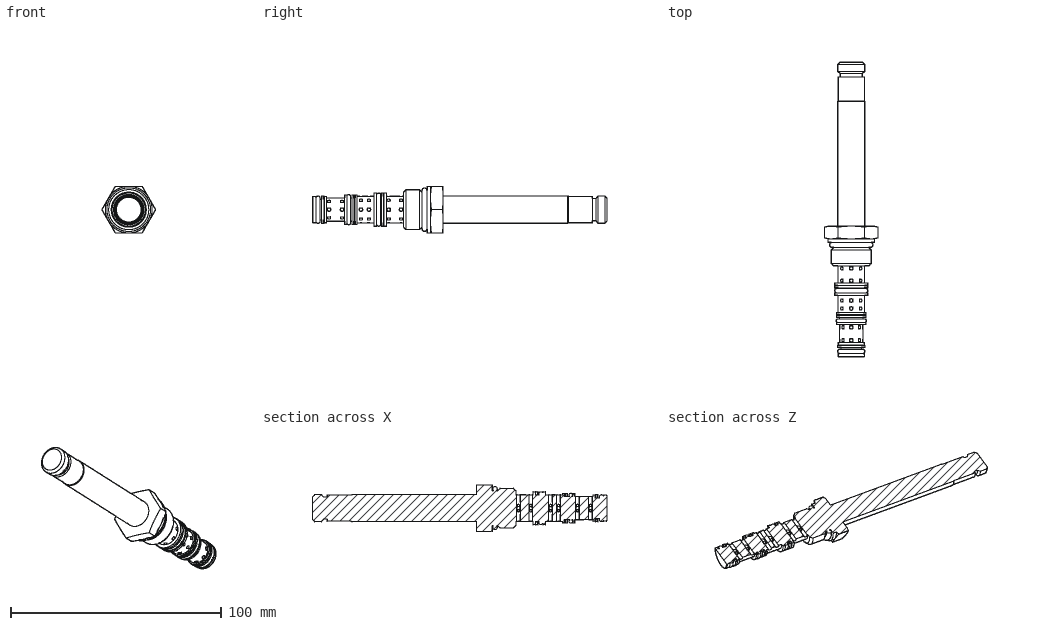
import cadquery as cq
import math

overall_length = 140.3

nose_land_diameter = 12.6
nose_chamfer_depth = 0.4
nose_chamfer_length = 0.3
nose_land_end = 6.9
middle_land_diameter = 14.2
middle_land_start = 15.4
middle_land_end = 21.3
large_land_diameter = 15.8
large_land_start = 29.3
large_land_end = 35.3
waist_diameter = 11.2
cage_diameter = 12.8

nose_groove_diameter = 10.0
nose_groove_start = 1.7
nose_groove_end = 5.8
middle_groove_diameter = 11.2
middle_groove_start = 16.4
middle_groove_end = 20.3
large_groove_diameter = 12.8
large_groove_start = 30.6
large_groove_end = 34.1

nose_bead_section = 2.1
middle_bead_section = 1.8
large_bead_section = 2.1
nose_bead_diameter = 13.0
middle_bead_diameter = 14.5
large_bead_diameter = 15.8

backup_width = 1.0
nose_backup_diameter = 13.2
nose_backup_start = 4.5
middle_backup_start = 18.8
large_backup_start = 33.0

hole_diameter = 1.5
holes_around = 8
hole_positions = [8.0, 14.2, 23.1, 27.0, 36.3, 42.2]

thread_diameter = 19.1
main_groove_diameter = 16.7
collar_start = 43.3
collar_end = 52.2

main_bead_section = 2.4
main_bead_diameter = 20.8

across_corners = 25.7
flange_start = 54.5
hex_start = 56.2
hex_end = 62.3
hex_chamfer_angle = 15

tube_diameter = 13.0
upper_tube_diameter = 12.6
tube_taper_start = 121.5
tube_taper_end = 121.9
neck_diameter = 10.7
neck_start = 133.2
neck_end = 135.0
cap_start = 135.8
cap_end = 139.1

across_flats = across_corners * math.cos(math.radians(30))


def revolve_profile(points):
    """Turn an outline of (radius, Y) points about the Y axis."""
    outline = cq.Workplane("XY").polyline(points).close()
    return outline.revolve(360, (0, 0, 0), (0, 1, 0))


def ring(inner_diameter, outer_diameter, start, end):
    inner = inner_diameter / 2
    outer = outer_diameter / 2
    return revolve_profile([(inner, start), (outer, start), (outer, end), (inner, end)])


def cylinder(diameter, start, end):
    return ring(0, diameter, start, end)


def bead(outer_diameter, section, start):
    """Round O-ring bead about the Y axis, beginning at Y = start."""
    center_radius = (outer_diameter - section) / 2
    section_plane = cq.Plane(
        origin=(center_radius, start + section / 2, 0),
        xDir=(-1, 0, 0),
        normal=(0, 0, 1),
    )
    section_circle = cq.Workplane(section_plane).circle(section / 2)
    return section_circle.revolve(360, (center_radius, 0, 0), (center_radius, 1, 0))


def cage():
    """Nose, waist and cage with the three lands, drilled across."""
    land_radius = nose_land_diameter / 2
    nose = revolve_profile([
        (0, 0),
        (land_radius - nose_chamfer_depth, 0),
        (land_radius, nose_chamfer_length),
        (land_radius, nose_land_end),
        (0, nose_land_end),
    ])
    body = (
        nose
        .union(cylinder(waist_diameter, nose_land_end, middle_land_start))
        .union(cylinder(middle_land_diameter, middle_land_start, middle_land_end))
        .union(cylinder(cage_diameter, middle_land_end, collar_start))
        .union(cylinder(large_land_diameter, large_land_start, large_land_end))
    )
    return cut_cross_holes(body)


def cut_cross_holes(body):
    """Drill straight through the axis, so each drilling opens on two opposite sides."""
    for position in hole_positions:
        for i in range(holes_around // 2):
            drill = (
                cq.Workplane("XY", origin=(0, position, 0))
                .circle(hole_diameter / 2)
                .extrude(cage_diameter, both=True)
                .rotate((0, 0, 0), (0, 1, 0), i * 360 / holes_around)
            )
            body = body.cut(drill)
    return body


def collar():
    """Threaded collar, 45 degree chamfers at both ends, and the main O-ring groove floor."""
    thread_radius = thread_diameter / 2
    groove_radius = main_groove_diameter / 2
    chamfer = thread_radius - groove_radius
    return revolve_profile([
        (0, collar_start),
        (groove_radius, collar_start),
        (thread_radius, collar_start + chamfer),
        (thread_radius, collar_end - chamfer),
        (groove_radius, collar_end),
        (groove_radius, flange_start),
        (0, flange_start),
    ])


def hexagon():
    """Hexagon with corners pointing along X, its corners turned off at both ends."""
    prism = (
        cq.Workplane("XZ", origin=(0, hex_start, 0))
        .polygon(6, across_corners)
        .extrude(hex_start - hex_end)
    )
    corner_radius = across_corners / 2
    flat_radius = across_flats / 2
    corner_drop = (corner_radius - flat_radius) * math.tan(math.radians(hex_chamfer_angle))
    envelope = revolve_profile([
        (0, hex_start),
        (flat_radius, hex_start),
        (corner_radius, hex_start + corner_drop),
        (corner_radius, hex_end - corner_drop),
        (flat_radius, hex_end),
        (0, hex_end),
    ])
    return prism.intersect(envelope)


def tube():
    """Long tube with a slimmer upper length, a neck and a chamfered cap."""
    tube_radius = tube_diameter / 2
    upper_radius = upper_tube_diameter / 2
    neck_radius = neck_diameter / 2
    return revolve_profile([
        (0, hex_end),
        (tube_radius, hex_end),
        (tube_radius, tube_taper_start),
        (upper_radius, tube_taper_end),
        (upper_radius, neck_start),
        (neck_radius, neck_start),
        (neck_radius, neck_end),
        (tube_radius, cap_start),
        (tube_radius, cap_end),
        (neck_radius, overall_length),
        (0, overall_length),
    ])


def cartridge():
    """The whole valve cartridge with its O-ring beads, as one solid."""
    body = (
        cage()
        .union(collar())
        .union(cylinder(across_flats, flange_start, hex_start))
        .union(hexagon())
        .union(tube())
    )
    grooves = [
        (nose_land_diameter, nose_groove_diameter, nose_groove_start, nose_groove_end),
        (middle_land_diameter, middle_groove_diameter, middle_groove_start, middle_groove_end),
        (large_land_diameter, large_groove_diameter, large_groove_start, large_groove_end),
    ]
    for land_diameter, floor_diameter, start, end in grooves:
        body = body.cut(ring(floor_diameter, land_diameter, start, end))
    beads = [
        (nose_bead_diameter, nose_bead_section, nose_groove_start),
        (middle_bead_diameter, middle_bead_section, middle_groove_start),
        (large_bead_diameter, large_bead_section, large_groove_start),
        (main_bead_diameter, main_bead_section, flange_start - main_bead_section),
    ]
    for outer_diameter, section, start in beads:
        body = body.union(bead(outer_diameter, section, start))
    return body


def backup_ring(floor_diameter, outer_diameter, start):
    """Flat ring that sits on a groove floor."""
    return ring(floor_diameter, outer_diameter, start, start + backup_width)


backup_places = [
    (nose_groove_diameter, nose_backup_diameter, nose_backup_start),
    (middle_groove_diameter, middle_land_diameter, middle_backup_start),
    (large_groove_diameter, large_land_diameter, large_backup_start),
]

valve = cartridge()
backup_rings = [backup_ring(*place).val() for place in backup_places]

result = cq.Compound.makeCompound([*valve.vals(), *backup_rings])